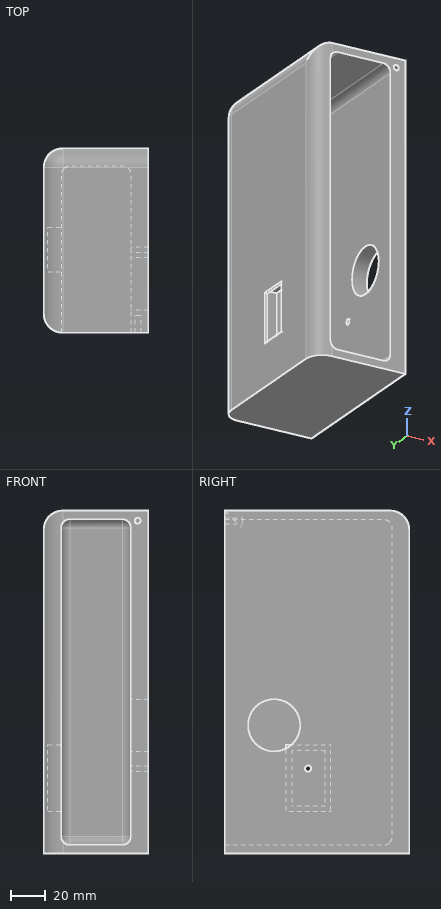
import cadquery as cq

width = 60.0
depth = 106.0
height = 197.0
outer_radius = 11.0

side_wall = 10.0
back_wall = side_wall
end_wall = side_wall / 2
cavity_radius = 5.0

window_width = 19.0
window_height = 31.7
window_bottom = 27.5
window_lip = 2.0
recess_margin = 3.3
sensor_y = -5.1

small_diameter = 3.3
small_hole_z = 48.9
large_diameter = 30.0
large_hole_y = -24.6
large_hole_z = 73.7

pin_diameter = small_diameter
pin_inset_x = 6.1
pin_inset_z = 6.0
pin_depth = 10.0

left = -width / 2
right = width / 2
front = -depth / 2


def rounded_shell_body():
    """Block rounded along the -X side, its top edge and its back edge."""
    block = cq.Workplane("XY").box(width, depth, height, centered=(True, True, False))
    rounded_edges = block.edges("(<X and |Z) or (<X and >Z) or (>Y and >Z)")
    return rounded_edges.fillet(outer_radius)


def cavity():
    """Deep pocket with every edge rounded except those at the open front."""
    pocket = cq.Workplane("XY").box(
        width - 2 * side_wall,
        depth - back_wall,
        height - 2 * end_wall,
        centered=(True, False, False),
    )
    pocket = pocket.edges("not <Y").fillet(cavity_radius)
    return pocket.translate((0, front, end_wall))


def window():
    """Rectangular opening through the -X wall into the cavity."""
    cutter = cq.Workplane("XY").box(
        2 * side_wall, window_width, window_height, centered=(False, True, False)
    )
    return cutter.translate((left - side_wall / 2, sensor_y, window_bottom))


def window_recess():
    """Shallow rectangle on the cavity side that thins the wall around the window."""
    cutter = cq.Workplane("XY").box(
        side_wall,
        window_width + 2 * recess_margin,
        window_height + 2 * recess_margin,
        centered=(False, True, False),
    )
    return cutter.translate((left + window_lip, sensor_y, window_bottom - recess_margin))


def right_wall_hole(diameter, y, z):
    """Round cutter through the +X wall only."""
    plane = cq.Workplane("YZ", origin=(right - 1.5 * side_wall, y, z))
    return plane.circle(diameter / 2).extrude(2 * side_wall)


def pin_hole():
    """Blind round cutter entering the front rim along +Y."""
    plane = cq.Workplane("XZ", origin=(right - pin_inset_x, front, height - pin_inset_z))
    return plane.circle(pin_diameter / 2).extrude(-pin_depth)


result = (
    rounded_shell_body()
    .cut(cavity())
    .cut(window())
    .cut(window_recess())
    .cut(right_wall_hole(small_diameter, sensor_y, small_hole_z))
    .cut(right_wall_hole(large_diameter, large_hole_y, large_hole_z))
    .cut(pin_hole())
)